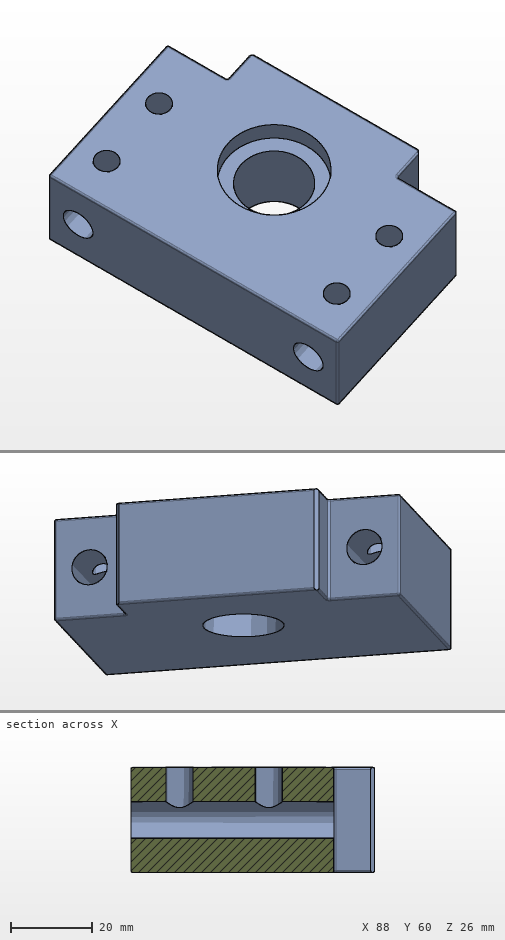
import cadquery as cq

width = 88.0
depth = 60.0
height = 26.0
shoulder_depth = 50.0
tab_width = 51.6
edge_radius = 0.5
tab_corner_chamfer = 1.0

bore_diameter = 20.0
counterbore_diameter = 28.0
counterbore_depth = 5.5
bore_y = 34.0

hole_spacing_x = 70.0
cross_hole_diameter = 9.0
top_hole_diameter = 6.6
top_hole_front_y = 12.0
cross_hole_z = height / 2


def tab_corner_wedge(side):
    """Triangular cutter for the upright tab corner on the given side (-1 or 1)."""
    corner_x = side * tab_width / 2
    return (
        cq.Workplane("XY")
        .moveTo(corner_x, depth)
        .lineTo(corner_x - side * tab_corner_chamfer, depth)
        .lineTo(corner_x, depth - tab_corner_chamfer)
        .close()
        .extrude(height)
    )


def make_block():
    """T-shaped block with rounded edges and plain chamfers on the two upright tab corners."""
    base = cq.Workplane("XY").box(width, shoulder_depth, height, centered=(True, False, False))
    tab = cq.Workplane("XY").box(tab_width, depth, height, centered=(True, False, False))
    sharp_block = base.union(tab).clean()

    rounded_block = sharp_block.edges("not (|Z and >Y)").fillet(edge_radius)
    for side in (-1, 1):
        rounded_block = rounded_block.cut(tab_corner_wedge(side))
    return rounded_block


def vertical_hole(x, y, diameter, bottom_z):
    """Cutter running from bottom_z up to the top face."""
    return (
        cq.Workplane("XY", origin=(x, y, bottom_z))
        .circle(diameter / 2)
        .extrude(height - bottom_z)
    )


def cross_hole(x):
    """Cutter running through the block along Y."""
    return (
        cq.Workplane("XZ", origin=(x, 0, cross_hole_z))
        .circle(cross_hole_diameter / 2)
        .extrude(-depth)
    )


result = make_block()

result = result.cut(vertical_hole(0, bore_y, bore_diameter, 0))
result = result.cut(vertical_hole(0, bore_y, counterbore_diameter, height - counterbore_depth))

for side in (-1, 1):
    hole_x = side * hole_spacing_x / 2
    result = result.cut(cross_hole(hole_x))
    for hole_y in (top_hole_front_y, bore_y):
        result = result.cut(vertical_hole(hole_x, hole_y, top_hole_diameter, cross_hole_z))